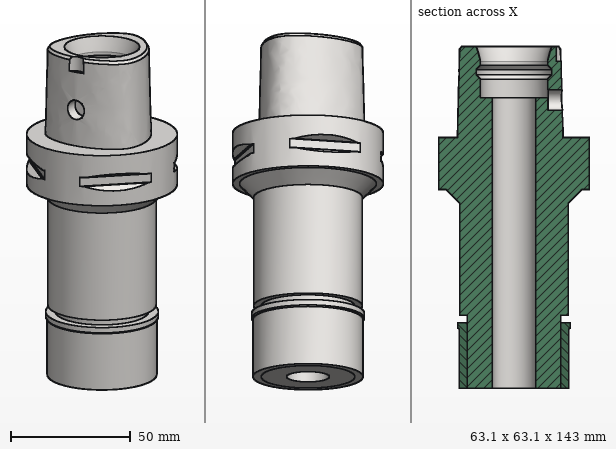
import cadquery as cq
import math

total_height = 143.0
flange_top = 105.0
flange_bottom = 83.1
shank_bottom = 30.5
nut_top = 27.5
collar_bottom = 25.2

flange_radius = 31.53
cone_radius = 28.6
shank_radius = 22.7
nose_radius = 19.6
cone_bottom = flange_bottom - (cone_radius - shank_radius)

taper_foot_radius = 22.2
lobe_height = 1.6
taper_slope = 1 / 40
lobe_count = 3
lobe_angle = math.pi / 2
outline_points = 36
taper_edge_height = 1.3
taper_edge_inset = 0.9
taper_edge_z = total_height - taper_edge_height

mouth_radius = 15.7
bore_radius = 13.94
through_radius = 8.94
mouth_depth = 6.3
undercut_top = 7.9
undercut_bottom = 13.7
undercut_depth = 1.9
bore_depth = 21.5

notch_radius = 4.3
notch_depth = 6.1
notch_inner_y = -17.7
side_hole_radius = 4.1
side_hole_z = 120.5
side_hole_floor_y = -14.3

groove_count = 4
groove_z = 93.1
groove_floor_width = 3.9
groove_floor_distance = 27.6
groove_flank_distance = 28.5
groove_flank_angle = 30.0

nut_radius = 23.0
collar_radius = 23.6


def lobed_wire(mean_radius, z):
    """Closed trochoid outline with a constant width of twice the mean radius."""
    points = []
    for i in range(outline_points):
        turn = 2 * math.pi * i / outline_points
        phase = lobe_count * (turn - lobe_angle)
        reach = mean_radius + lobe_height * math.cos(phase)
        slide = -lobe_count * lobe_height * math.sin(phase)
        x = reach * math.cos(turn) - slide * math.sin(turn)
        y = reach * math.sin(turn) + slide * math.cos(turn)
        points.append(cq.Vector(x, y, z))
    return cq.Wire.assembleEdges([cq.Edge.makeSpline(points, periodic=True)])


def make_taper():
    """Lobed coupling taper with a bevelled top edge."""
    edge_radius = taper_foot_radius - taper_slope * (taper_edge_z - flange_top)
    foot = lobed_wire(taper_foot_radius, flange_top)
    edge = lobed_wire(edge_radius, taper_edge_z)
    top = lobed_wire(edge_radius - taper_edge_inset, total_height)
    flank = cq.Solid.makeLoft([foot, edge], True)
    bevel = cq.Solid.makeLoft([edge, top], True)
    return cq.Workplane(flank).union(cq.Workplane(bevel))


def make_turned_body():
    """Flange, cone, shank and the nose that carries the nut."""
    profile = [
        (0, 0),
        (nose_radius, 0),
        (nose_radius, shank_bottom),
        (shank_radius, shank_bottom),
        (shank_radius, cone_bottom),
        (cone_radius, flange_bottom),
        (flange_radius, flange_bottom),
        (flange_radius, flange_top),
        (0, flange_top),
    ]
    return cq.Workplane("XZ").polyline(profile).close().revolve(360, (0, 0), (0, 1))


def make_bore():
    """Conical mouth, undercut clamping bore and through hole."""
    undercut_radius = bore_radius + undercut_depth
    profile = [
        (0, total_height),
        (mouth_radius, total_height),
        (bore_radius, total_height - mouth_depth),
        (bore_radius, total_height - undercut_top),
        (undercut_radius, total_height - undercut_top - undercut_depth),
        (undercut_radius, total_height - undercut_bottom + undercut_depth),
        (bore_radius, total_height - undercut_bottom),
        (bore_radius, total_height - bore_depth),
        (through_radius, total_height - bore_depth),
        (through_radius, 0),
        (0, 0),
    ]
    return cq.Workplane("XZ").polyline(profile).close().revolve(360, (0, 0), (0, 1))


def make_notch():
    """Round-backed keyway cut down from the top face."""
    return (
        cq.Workplane("XY", origin=(0, notch_inner_y - notch_radius, total_height - notch_depth))
        .circle(notch_radius)
        .extrude(notch_depth)
    )


def make_side_hole():
    """Flat-bottomed blind hole in the taper, opening towards -Y."""
    return (
        cq.Workplane("XZ", origin=(0, side_hole_floor_y, side_hole_z))
        .circle(side_hole_radius)
        .extrude(taper_foot_radius)
    )


def make_gripper_groove(angle):
    """Flat-floored straight groove with flared flanks, turned to the given angle."""
    half_floor = groove_floor_width / 2
    flare_run = flange_radius - groove_flank_distance
    half_mouth = half_floor + flare_run * math.tan(math.radians(groove_flank_angle))
    profile = [
        (groove_floor_distance, -half_floor),
        (groove_flank_distance, -half_floor),
        (flange_radius, -half_mouth),
        (flange_radius, half_mouth),
        (groove_flank_distance, half_floor),
        (groove_floor_distance, half_floor),
    ]
    return (
        cq.Workplane("XZ", origin=(0, 0, groove_z))
        .polyline(profile)
        .close()
        .extrude(flange_radius, both=True)
        .rotate((0, 0, 0), (0, 0, 1), angle)
    )


def make_holder():
    """Tool holder: taper, flange, shank and nose in one piece."""
    holder = make_turned_body().union(make_taper())
    holder = holder.cut(make_bore()).cut(make_notch()).cut(make_side_hole())
    pitch = 360 / groove_count
    for i in range(groove_count):
        holder = holder.cut(make_gripper_groove((i + 0.5) * pitch))
    return holder


def make_nut():
    """Clamping nut sleeve around the nose, with a collar bevelled below."""
    profile = [
        (nose_radius, 0),
        (nut_radius, 0),
        (nut_radius, collar_bottom - (collar_radius - nut_radius)),
        (collar_radius, collar_bottom),
        (collar_radius, nut_top),
        (nose_radius, nut_top),
    ]
    return cq.Workplane("XZ").polyline(profile).close().revolve(360, (0, 0), (0, 1))


holder = make_holder()
nut = make_nut()
result = cq.Compound.makeCompound([holder.val(), nut.val()])